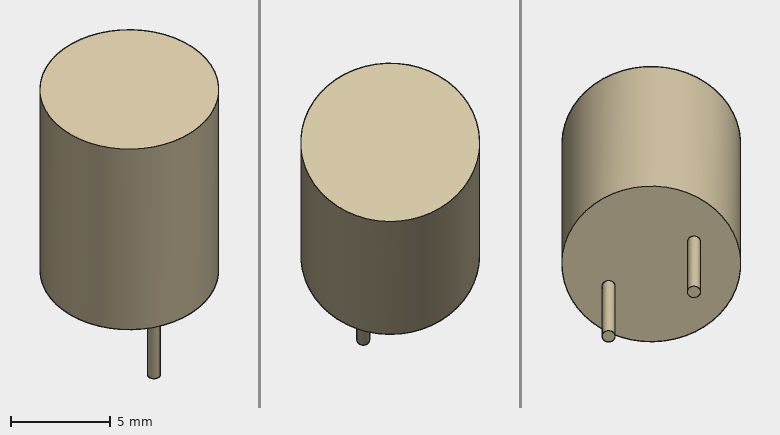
import cadquery as cq

total_height = 17.3
lead_length = 5.1
body_height = total_height - lead_length

body_diameter = 9.0
lead_diameter = 0.65
lead_spacing = 5.0


def make_body():
    """Plain cylindrical body standing on the XY plane."""
    return cq.Workplane("XY").circle(body_diameter / 2).extrude(body_height)


def make_lead(x_position):
    """Straight round lead hanging down from the underside of the body."""
    return cq.Workplane("XY").center(x_position, 0).circle(lead_diameter / 2).extrude(-lead_length)


body = make_body()

leads = []
for side in (-1, 1):
    lead = make_lead(side * lead_spacing / 2)
    leads.append(lead.val())

result = cq.Compound.makeCompound([body.val(), *leads])